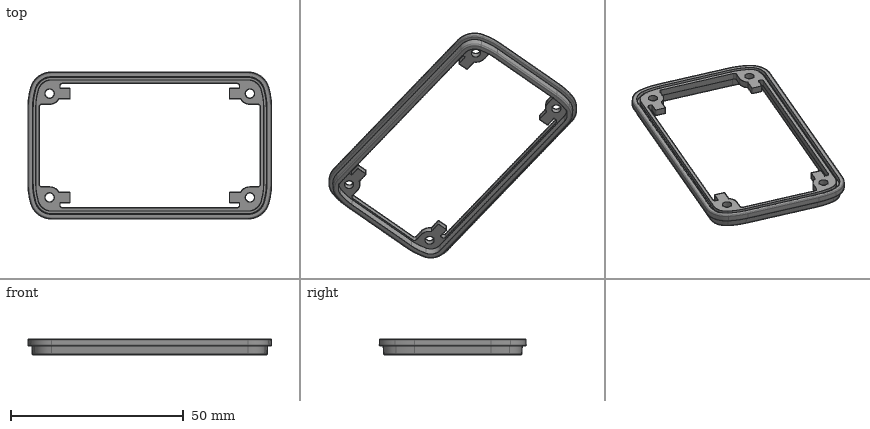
import cadquery as cq
import math

LENGTH = 70.6
WIDTH = 42.6
HEIGHT = 4.6

CORNER_RADIUS = 6.3
CORNER_X = 28.45
SHORT_STRAIGHT_HALF = 11.1

FLANGE_THICKNESS = 2.0
LEDGE_Z = HEIGHT - FLANGE_THICKNESS
FLANGE_EDGE_RADIUS = 0.3
FLANGE_LEAN = 0.1

BODY_INSET_TOP = 1.1
BODY_INSET_BOTTOM = 1.3
BODY_EDGE_RADIUS = 0.4
POCKET_INSET_TOP = 2.9
POCKET_INSET_BOTTOM = 2.75
OPENING_INSET = 3.3

GROOVE_OUTER_INSET = 1.35
GROOVE_INNER_INSET = 2.3
GROOVE_OUTER_LEAN = 0.2
GROOVE_INNER_LEAN = 0.1
GROOVE_DEPTH = 1.0

HOLE_X = 29.0
HOLE_Y = 15.05
HOLE_DIAMETER = 2.6
LUG_RADIUS = 3.1
TAB_END_X = 23.1
TAB_INNER_Y = 13.5
TAB_OUTER_Y = 16.6
NOTCH_END_X = 26.0
TAB_TIP_RADIUS = 0.2
INNER_CORNER_RADIUS = 0.7


def outline(inset, z):
    """Closed outer outline, moved inwards by inset and placed at height z."""
    half_x = LENGTH / 2 - inset
    half_y = WIDTH / 2 - inset
    corner_y = WIDTH / 2 - CORNER_RADIUS
    reach = LENGTH / 2 - CORNER_X
    rise = corner_y - SHORT_STRAIGHT_HALF
    wide_radius = (reach**2 + rise**2 - CORNER_RADIUS**2) / (2 * (reach - CORNER_RADIUS))
    wide_x = LENGTH / 2 - wide_radius
    join_angle = math.atan2(rise, CORNER_X - wide_x)

    def wide_point(angle):
        radius = wide_radius - inset
        return wide_x + radius * math.cos(angle), SHORT_STRAIGHT_HALF + radius * math.sin(angle)

    def corner_point(angle):
        radius = CORNER_RADIUS - inset
        return CORNER_X + radius * math.cos(angle), corner_y + radius * math.sin(angle)

    wide_mid = wide_point(join_angle / 2)
    join = wide_point(join_angle)
    corner_mid = corner_point((join_angle + math.pi / 2) / 2)

    def at(point, x_sign, y_sign):
        return point[0] * x_sign, point[1] * y_sign

    sketch = cq.Workplane("XY", origin=(0, 0, z)).moveTo(half_x, -SHORT_STRAIGHT_HALF)
    for side in (1, -1):
        sketch = (
            sketch.lineTo(side * half_x, side * SHORT_STRAIGHT_HALF)
            .threePointArc(at(wide_mid, side, side), at(join, side, side))
            .threePointArc(at(corner_mid, side, side), (side * CORNER_X, side * half_y))
            .lineTo(-side * CORNER_X, side * half_y)
            .threePointArc(at(corner_mid, -side, side), at(join, -side, side))
            .threePointArc(at(wide_mid, -side, side), (-side * half_x, side * SHORT_STRAIGHT_HALF))
        )
    return sketch.close().val()


def tapered_slab(bottom_inset, bottom_z, top_inset, top_z):
    """Solid between two insets of the outline at two heights."""
    wires = [outline(bottom_inset, bottom_z), outline(top_inset, top_z)]
    return cq.Workplane(cq.Solid.makeLoft(wires, True))


def flange():
    lean_angle = math.atan2(FLANGE_LEAN, FLANGE_THICKNESS)
    proud = FLANGE_EDGE_RADIUS * (math.tan(lean_angle) + 1 / math.cos(lean_angle) - 1)
    slab = tapered_slab(-proud, LEDGE_Z, FLANGE_LEAN - proud, HEIGHT)
    return slab.faces("|Z").edges().fillet(FLANGE_EDGE_RADIUS)


def lower_body():
    body = tapered_slab(BODY_INSET_BOTTOM, 0, BODY_INSET_TOP, LEDGE_Z)
    return body.faces("<Z").edges().fillet(BODY_EDGE_RADIUS)


def groove():
    floor_z = HEIGHT - GROOVE_DEPTH
    outer = tapered_slab(GROOVE_OUTER_INSET + GROOVE_OUTER_LEAN, floor_z, GROOVE_OUTER_INSET, HEIGHT)
    inner = tapered_slab(GROOVE_INNER_INSET - GROOVE_INNER_LEAN, floor_z, GROOVE_INNER_INSET, HEIGHT)
    return outer.cut(inner)


def opening():
    """Window through the top plate, with the four lugs left standing."""
    opening_x = LENGTH / 2 - OPENING_INSET
    opening_y = WIDTH / 2 - OPENING_INSET
    lug_bottom_y = HOLE_Y - LUG_RADIUS
    tab_drop = HOLE_Y - TAB_INNER_Y
    tab_join_x = HOLE_X - math.sqrt(LUG_RADIUS**2 - tab_drop**2)
    arc_angle = (math.asin(tab_drop / LUG_RADIUS) + math.pi / 2) / 2
    arc_mid = (HOLE_X - LUG_RADIUS * math.cos(arc_angle), HOLE_Y - LUG_RADIUS * math.sin(arc_angle))

    quarter = (
        cq.Workplane("XY", origin=(0, 0, LEDGE_Z))
        .lineTo(opening_x, 0)
        .lineTo(opening_x, lug_bottom_y)
        .lineTo(HOLE_X, lug_bottom_y)
        .threePointArc(arc_mid, (tab_join_x, TAB_INNER_Y))
        .lineTo(TAB_END_X, TAB_INNER_Y)
        .lineTo(TAB_END_X, TAB_OUTER_Y)
        .lineTo(NOTCH_END_X, TAB_OUTER_Y)
        .lineTo(NOTCH_END_X, opening_y)
        .lineTo(0, opening_y)
        .close()
        .extrude(FLANGE_THICKNESS)
    )
    rounded_corners = [
        (opening_x, lug_bottom_y, INNER_CORNER_RADIUS),
        (NOTCH_END_X, opening_y, INNER_CORNER_RADIUS),
        (TAB_END_X, TAB_INNER_Y, TAB_TIP_RADIUS),
        (TAB_END_X, TAB_OUTER_Y, TAB_TIP_RADIUS),
    ]
    for x, y, radius in rounded_corners:
        corner = cq.selectors.NearestToPointSelector((x, y, LEDGE_Z + FLANGE_THICKNESS / 2))
        quarter = quarter.edges("|Z").edges(corner).fillet(radius)
    half = quarter.union(quarter.mirror("YZ"))
    return half.union(half.mirror("XZ"))


def screw_holes():
    return (
        cq.Workplane("XY")
        .rect(2 * HOLE_X, 2 * HOLE_Y, forConstruction=True)
        .vertices()
        .circle(HOLE_DIAMETER / 2)
        .extrude(HEIGHT)
    )


def underside_pocket():
    return tapered_slab(POCKET_INSET_BOTTOM, 0, POCKET_INSET_TOP, LEDGE_Z)


result = (
    flange()
    .union(lower_body())
    .cut(underside_pocket())
    .cut(groove())
    .cut(opening())
    .cut(screw_holes())
)